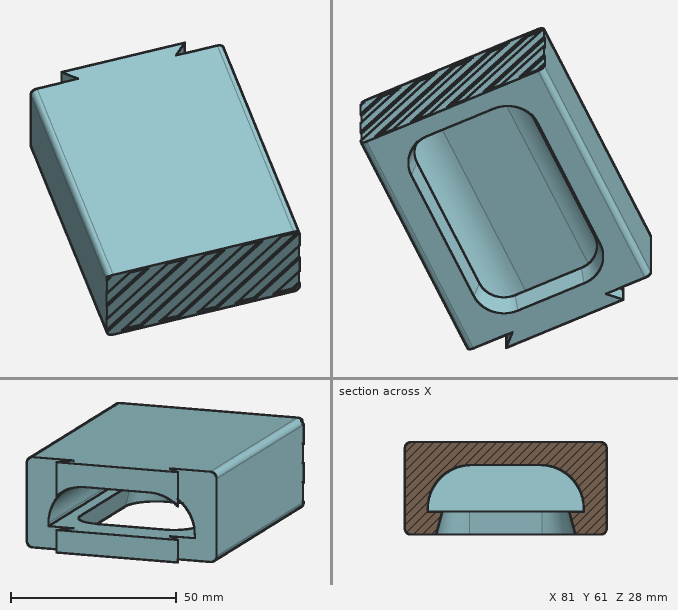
import cadquery as cq
import math

body_length = 77.0
body_width = 61.0
body_height = 28.0
edge_radius = 2.0

dovetail_depth = 4.0
dovetail_tip_width = 39.0
dovetail_root_width = dovetail_tip_width - 2 * dovetail_depth

cavity_width = 47.0
cavity_floor = 7.0
cavity_height = body_height - 2 * cavity_floor
cavity_corner_radius = 13.0
end_wall = 6.0

opening_margin = 6.0
opening_length = body_length - 2 * opening_margin
opening_width = 42.0
opening_corner_radius = 10.0
opening_taper = 15.0

groove_depth = 0.6
groove_rise = 6.0
groove_pitch = 2 * groove_rise
groove_first_z = 2.0
groove_edge_margin = 0.8


def make_body():
    bar = cq.Workplane("XY").box(body_length, body_width, body_height, centered=(False, True, False))
    return bar.edges("|X").fillet(edge_radius)


def make_dovetail():
    tip = dovetail_tip_width / 2
    root = dovetail_root_width / 2
    outline = [(-dovetail_depth, -tip), (0, -root), (0, root), (-dovetail_depth, tip)]
    return cq.Workplane("XY").polyline(outline).close().extrude(body_height)


def make_cavity():
    length = dovetail_depth + body_length - end_wall
    cavity = cq.Workplane("XY").box(length, cavity_width, cavity_height, centered=(False, True, False))
    cavity = cavity.edges("|X and >Z").fillet(cavity_corner_radius)
    return cavity.translate((-dovetail_depth, 0, cavity_floor))


def make_underside_opening():
    outline = cq.Sketch().rect(opening_length, opening_width).vertices().fillet(opening_corner_radius)
    base = cq.Workplane("XY", origin=(body_length / 2, 0, 0))
    return base.placeSketch(outline).extrude(cavity_floor, taper=opening_taper)


def make_grooves():
    """Bands rising at 45 degrees towards +Y, kept clear of the top and bottom faces."""
    half_width = body_width / 2
    count_below = math.ceil((body_width + groove_first_z) / groove_pitch)
    count_above = math.floor((body_height - groove_first_z) / groove_pitch)
    bands = cq.Workplane("YZ", origin=(body_length - groove_depth, 0, 0))
    for index in range(-count_below, count_above + 1):
        start_z = groove_first_z + index * groove_pitch
        end_z = start_z + body_width
        outline = [
            (-half_width, start_z),
            (half_width, end_z),
            (half_width, end_z + groove_rise),
            (-half_width, start_z + groove_rise),
        ]
        bands = bands.polyline(outline).close()
    bands = bands.extrude(groove_depth)
    limit_height = body_height - 2 * groove_edge_margin
    limit = cq.Workplane("XY").box(body_length, body_width, limit_height, centered=(False, True, False))
    return bands.intersect(limit.translate((0, 0, groove_edge_margin)))


result = make_body().union(make_dovetail())
result = result.cut(make_cavity())
result = result.cut(make_underside_opening())
result = result.cut(make_grooves())